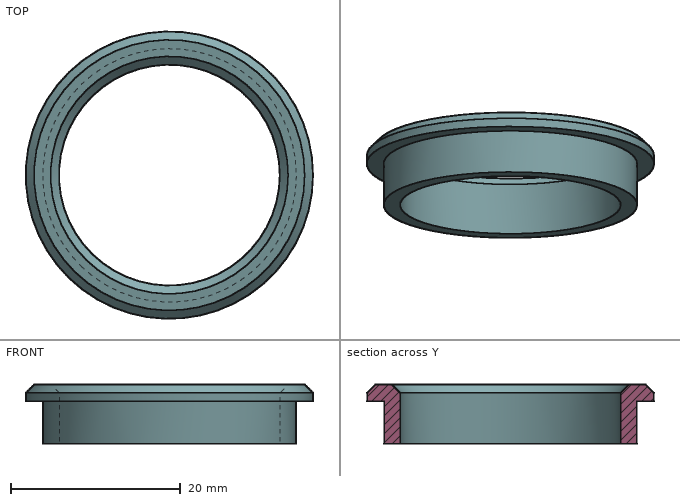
import cadquery as cq

flange_diameter = 33.9
sleeve_diameter = 29.9
bore_diameter = 26.0
total_height = 7.0
flange_height = 2.0

chamfer_size = flange_height / 2
sleeve_height = total_height - flange_height

sleeve = cq.Workplane("XY").circle(sleeve_diameter / 2).extrude(sleeve_height)
flange = (
    cq.Workplane("XY")
    .workplane(offset=sleeve_height)
    .circle(flange_diameter / 2)
    .extrude(flange_height)
)

bore = cq.Workplane("XY").circle(bore_diameter / 2).extrude(total_height)
ring = sleeve.union(flange).cut(bore)

result = ring.faces(">Z").edges().chamfer(chamfer_size)